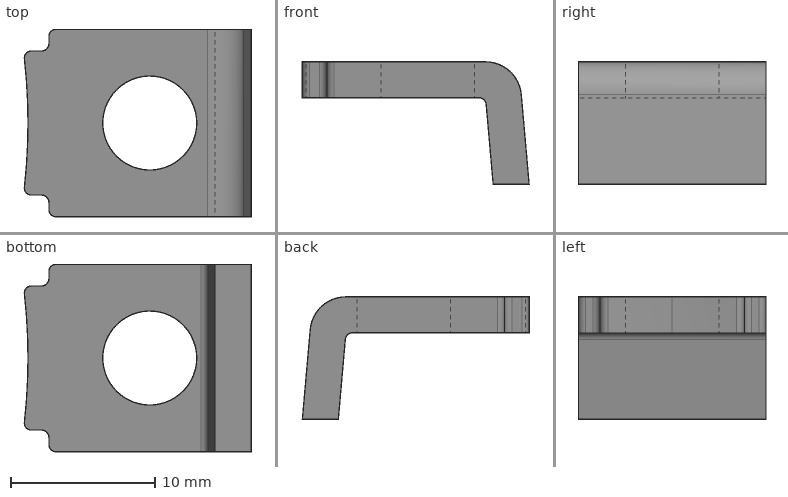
import cadquery as cq
import math

thickness = 2.5
width = 13.0
height = 8.5

leg_lean = math.radians(5.0)
bend_start_x = 4.0
outer_bend_radius = 2.5
inner_bend_radius = 0.5

hole_diameter = 6.5
shoulder_x = -7.0
tongue_width = 10.0
tongue_middle_x = -8.45
tongue_end_radius = 40.0
corner_radius = 0.5

top_z = thickness
foot_z = thickness - height

half_width = width / 2
half_tongue = tongue_width / 2

bend_turn = math.pi / 2 - leg_lean
outer_corner_x = bend_start_x + outer_bend_radius * math.tan(bend_turn / 2)
leg_thickness_x = thickness / math.cos(leg_lean)
lean_slope = math.tan(leg_lean)
inner_corner_x = outer_corner_x + thickness * lean_slope - leg_thickness_x
outer_foot_x = outer_corner_x + height * lean_slope
inner_foot_x = outer_foot_x - leg_thickness_x

tip_center_y = half_tongue - corner_radius
end_arc_center_x = tongue_middle_x - tongue_end_radius
center_distance = tongue_end_radius + corner_radius
tip_center_x = end_arc_center_x + math.sqrt(center_distance**2 - tip_center_y**2)
tip_angle = math.asin(tip_center_y / center_distance)


def end_arc_point(angle):
    """Point on the hollow end of the tongue, at an angle from the X axis."""
    return (
        end_arc_center_x + tongue_end_radius * math.cos(angle),
        tongue_end_radius * math.sin(angle),
    )


def corner_point(center_x, center_y, angle):
    """Point on a rounded corner, at an angle from the X axis about its centre."""
    return (
        center_x + corner_radius * math.cos(angle),
        center_y + corner_radius * math.sin(angle),
    )


def make_bent_sheet():
    """Full-width L-shaped sheet with rounded bend, longer than the tongue."""
    blank_end_x = tip_center_x - 2 * corner_radius
    sheet = (
        cq.Workplane("XZ")
        .moveTo(blank_end_x, top_z)
        .lineTo(outer_corner_x, top_z)
        .lineTo(outer_foot_x, foot_z)
        .lineTo(inner_foot_x, foot_z)
        .lineTo(inner_corner_x, 0)
        .lineTo(blank_end_x, 0)
        .close()
        .extrude(half_width, both=True)
    )
    outer_edge = cq.selectors.NearestToPointSelector((outer_corner_x, 0, top_z))
    sheet = sheet.edges("|Y").edges(outer_edge).fillet(outer_bend_radius)
    inner_edge = cq.selectors.NearestToPointSelector((inner_corner_x, 0, 0))
    return sheet.edges("|Y").edges(inner_edge).fillet(inner_bend_radius)


def make_outline():
    """Plan outline as a tall block: shoulders, and a tongue with a hollow end."""
    tip_middle_angle = (math.pi / 2 + math.pi + tip_angle) / 2
    inside_x = shoulder_x - corner_radius
    inside_y = half_tongue + corner_radius
    outside_x = shoulder_x + corner_radius
    outside_y = half_width - corner_radius
    beyond_leg_x = outer_foot_x + thickness
    half_outline = (
        cq.Workplane("XY", origin=(0, 0, foot_z))
        .moveTo(tongue_middle_x, 0)
        .threePointArc(end_arc_point(tip_angle / 2), end_arc_point(tip_angle))
        .threePointArc(
            corner_point(tip_center_x, tip_center_y, tip_middle_angle),
            (tip_center_x, half_tongue),
        )
        .lineTo(inside_x, half_tongue)
        .threePointArc(
            corner_point(inside_x, inside_y, -math.pi / 4),
            (shoulder_x, inside_y),
        )
        .lineTo(shoulder_x, outside_y)
        .threePointArc(
            corner_point(outside_x, outside_y, 3 * math.pi / 4),
            (outside_x, half_width),
        )
        .lineTo(beyond_leg_x, half_width)
        .lineTo(beyond_leg_x, 0)
    )
    return half_outline.mirrorX().extrude(height, clean=False)


def make_hole():
    """Round hole through the plate."""
    return cq.Workplane("XY").circle(hole_diameter / 2).extrude(thickness)


trimmed_sheet = make_bent_sheet().intersect(make_outline(), clean=False)
result = trimmed_sheet.cut(make_hole(), clean=False)